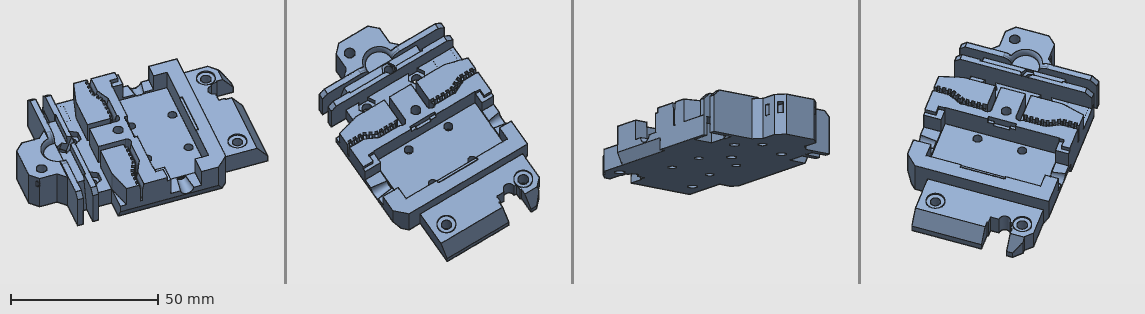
import cadquery as cq
import math


BODY_WIDTH = 52.0
TOTAL_LENGTH = 83.09
TOTAL_HEIGHT = 15.0
BODY_FRONT = 26.5
BODY_BACK = 66.15
WALL_HEIGHT = 13.4
BODY_MIDDLE_X = BODY_WIDTH / 2
CORNER_CHAMFER = 4.0
SIDE_BEVEL_WIDTH = 2.0
SIDE_BEVEL_HEIGHT = 4.2
LEFT_BEVEL_FRONT = 42.3
CUT = 1.0

PLATE_LEFT = 2.0
PLATE_RIGHT = 43.5
PLATE_HEIGHT = 7.8
PLATE_BEVEL_LENGTH = 3.9
PLATE_EDGE_HEIGHT = 2.5
PLATE_SHOULDER = 2.5
PLATE_SHOULDER_Y = 76.55
PLATE_CORNER_Y = 80.25
PLATE_NOTCH_LEFT = 9.55
PLATE_NOTCH_RIGHT = 18.5
PLATE_NOTCH_STEP = 0.5
PLATE_NOTCH_STEP_Y = 77.0
PLATE_NOTCH_END = 74.7
NOTCH_ROUND_X = 13.0
NOTCH_ROUND_RADIUS = 2.0
PLATE_HOLE_Y = 74.1
PLATE_HOLES = ((6.9, 3.6), (38.0, 3.4))
COUNTERBORE_DIAMETER = 6.4
COUNTERBORE_DEPTH = 0.6

TRAY_LEFT = 4.75
TRAY_RIGHT = 45.75
TRAY_FRONT = 40.6
TRAY_BACK = 60.8
TRAY_FLOOR = 5.75
TRAY_MIDDLE_X = (TRAY_LEFT + TRAY_RIGHT) / 2
RIDGE_BACK = 43.6
RIDGE_INNER_BACK = 40.8
RIDGE_LEFT_SHOULDER = 3.0
RIDGE_RIGHT_SHOULDER = 4.0
SADDLE_FRONT = 44.85
SADDLE_BACK = 55.9
SADDLE_HEIGHT = 6.6
CONE_Y = 50.75
CONE_Z = 6.9
CONE_OUTER_RADIUS = 2.42
CONE_INNER_RADIUS = 1.6
RIGHT_CONE_LENGTH = 6.0
TRAY_HOLE_DIAMETER = 3.0
TRAY_HOLE_SPACING_X = 16.0
TRAY_HOLE_SPACING_Y = 15.0
TRAY_HOLE_MIDDLE_Y = 50.65
BACK_GROOVE_WIDTH = 0.95
BACK_GROOVE_DEPTH = 0.4
RELIEF_X = 25.5
RELIEF_LENGTH = 9.95
RELIEF_CORE_LENGTH = 5.75
RELIEF_WIDTH = 1.05
RELIEF_DEPTH = 2.0
RELIEF_CORE_DEPTH = 3.0

DECK_HEIGHT = 7.0
TONGUE_HALF_WIDTH = 4.4
GAP_WIDTH = 2.0
GAP_END = 36.3
GAP_ROUND_RADIUS = 1.55
GAP_ROUND_X = 20.05
JAW_SLOPE_LENGTH = 8.3
JAW_SLOPE_DEPTH = 2.25
BELT_OUTER_Y = 35.05
BELT_INNER_Y = 37.35
BELT_BEND_OUTER_X = 6.0
BELT_BEND_INNER_X = 10.7
BELT_MOUTH_WIDTH = 1.5
BELT_SLOT_INSET = 0.45
BELT_SLOT_WIDTH = 0.7
BELT_MOUTH_Z = 12.5
TOOTH_PITCH = 2.0
TOOTH_WIDTH = 1.0
TOOTH_REACH = 2.35
OUTER_TEETH_X = 1.4
OUTER_TEETH = 3
SLOPED_TEETH_X = 6.3
SLOPED_TEETH = 3
INNER_TEETH_X = 12.55
INNER_TEETH = 4
TONGUE_HOLE_X = 25.5
TONGUE_HOLE_Y = 35.5
SCREW_DIAMETER = 3.4

NUT_X = (16.45, 36.5)
NUT_Y = 22.0
NUT_CORNER_DIAMETER = 6.4
NUT_DEPTH = 2.5

FIN_LEFT = 0.1
FIN_RIGHT = 49.4
FIN_THICKNESS = 2.1
REAR_FIN_FRONT = 17.5
FRONT_FIN_FRONT = 12.0
FIN_LEFT_CHAMFER_X = 2.45
FIN_LEFT_CHAMFER_Z = 2.2
FIN_RIGHT_CHAMFER = 2.0
LEDGE_HEIGHT = 11.8
LEDGE_BOTTOM_LEFT = 9.0
LEDGE_TOP_LEFT = 11.4
LEDGE_TOP_RIGHT = 40.7
FIN_RECESS_DEPTH = 0.5
FRONT_FIN_BACK = FRONT_FIN_FRONT + FIN_THICKNESS

CHANNEL_LEFT = 1.3
CHANNEL_RIGHT = 8.6
CHANNEL_BACK = 24.5
CHANNEL_HEIGHT = 6.6

SEAT_X = 24.2
SEAT_TOP_Y = 17.35
SEAT_CORNER_DIAMETER = 4.8
SEAT_TILT = 17.0
SEAT_DEPTH = 6.0
SEAT_HOLE_X = 23.8
SEAT_HOLE_Y = 15.9
SEAT_HOLE_DIAMETER = 3.0

BLOCK_LEFT = 19.05
BLOCK_RIGHT = 36.7
BLOCK_HEIGHT = 14.15
BLOCK_FLARE = 2.75
BLOCK_CHAMFER = 2.9
BLOCK_HOLE_X = 32.6
BLOCK_HOLE_Y = 5.1
BLOCK_HOLE_DIAMETER = 3.6
BLOCK_HOLE_DEPTH = 8.0
BOWL_X = 25.95
BOWL_Y = 13.35
BOWL_RADIUS = 4.75
BOWL_FLOOR = 11.9
BOWL_FLARE_RADIUS = TOTAL_HEIGHT - BOWL_FLOOR
TIE_X = 18.75
TIE_Y = 3.9
TIE_INNER_RADIUS = 2.1
TIE_OUTER_RADIUS = 3.95
TIE_BOTTOM = 7.7
TIE_TOP = 11.5
WINDOW_LEFT = 35.8
WINDOW_RIGHT = 36.3
WINDOW_BOTTOM = 9.8
WINDOW_TOP = 12.2
WINDOW_BACK = 2.2


def box(x0, x1, y0, y1, z0, z1):
    """Box between two opposite corners."""
    return cq.Workplane("XY").box(x1 - x0, y1 - y0, z1 - z0, centered=False).translate((x0, y0, z0))


def prism(points, z0, z1):
    """Upright prism over an XY outline."""
    return cq.Workplane("XY").workplane(offset=z0).polyline(points).close().extrude(z1 - z0)


def pin(x, y, diameter, z0, z1):
    """Upright cylinder."""
    return cq.Workplane("XY").workplane(offset=z0).center(x, y).circle(diameter / 2).extrude(z1 - z0)


def through_pin(x, y, diameter):
    """Cutter for a round hole through the full height."""
    return pin(x, y, diameter, -CUT, TOTAL_HEIGHT + CUT)


def profile_along_y(points, y0, y1):
    """Prism over an XZ outline, running from y0 to y1."""
    return cq.Workplane("XZ").workplane(offset=-y0).polyline(points).close().extrude(y0 - y1)


def mirrored(shape):
    """The shape together with its copy on the other side of the body."""
    return shape.union(shape.mirror("YZ", (BODY_MIDDLE_X, 0, 0)))


def make_back_plate():
    bevel_start = TOTAL_LENGTH - PLATE_BEVEL_LENGTH
    side = [
        (BODY_BACK - CUT, 0),
        (TOTAL_LENGTH, 0),
        (TOTAL_LENGTH, PLATE_EDGE_HEIGHT),
        (bevel_start, PLATE_HEIGHT),
        (BODY_BACK - CUT, PLATE_HEIGHT),
    ]
    plate = (
        cq.Workplane("YZ").workplane(offset=PLATE_LEFT).polyline(side).close()
        .extrude(PLATE_RIGHT - PLATE_LEFT)
    )
    shoulder_x = PLATE_LEFT + PLATE_SHOULDER
    corner_right = shoulder_x + TOTAL_LENGTH - PLATE_CORNER_Y
    corner = [
        (PLATE_LEFT - CUT, PLATE_SHOULDER_Y),
        (PLATE_LEFT, PLATE_SHOULDER_Y),
        (shoulder_x, PLATE_SHOULDER_Y + PLATE_SHOULDER),
        (shoulder_x, PLATE_CORNER_Y),
        (corner_right, TOTAL_LENGTH),
        (corner_right, TOTAL_LENGTH + CUT),
        (PLATE_LEFT - CUT, TOTAL_LENGTH + CUT),
    ]
    plate = plate.cut(prism(corner, -CUT, PLATE_HEIGHT + CUT))
    top = PLATE_HEIGHT + CUT
    plate = plate.cut(box(
        PLATE_NOTCH_LEFT, PLATE_NOTCH_RIGHT, PLATE_NOTCH_STEP_Y, TOTAL_LENGTH + CUT, -CUT, top,
    ))
    plate = plate.cut(box(
        PLATE_NOTCH_LEFT + PLATE_NOTCH_STEP, PLATE_NOTCH_RIGHT - PLATE_NOTCH_STEP,
        PLATE_NOTCH_END, PLATE_NOTCH_STEP_Y + CUT, -CUT, top,
    ))
    plate = plate.cut(pin(NOTCH_ROUND_X, PLATE_NOTCH_END, 2 * NOTCH_ROUND_RADIUS, -CUT, top))
    for x, diameter in PLATE_HOLES:
        plate = plate.cut(through_pin(x, PLATE_HOLE_Y, diameter))
        counterbore_floor = PLATE_HEIGHT - COUNTERBORE_DEPTH
        plate = plate.cut(pin(x, PLATE_HOLE_Y, COUNTERBORE_DIAMETER, counterbore_floor, top))
    return plate


def make_body():
    outline = [
        (0, BODY_FRONT),
        (BODY_WIDTH, BODY_FRONT),
        (BODY_WIDTH, BODY_BACK - CORNER_CHAMFER),
        (BODY_WIDTH - CORNER_CHAMFER, BODY_BACK),
        (0, BODY_BACK),
    ]
    body = prism(outline, 0, WALL_HEIGHT)
    body = body.union(box(0, BODY_WIDTH, BODY_FRONT, RIDGE_BACK, 0, TOTAL_HEIGHT))
    inner_step = box(
        RIDGE_LEFT_SHOULDER, BODY_WIDTH - RIDGE_RIGHT_SHOULDER,
        RIDGE_INNER_BACK, RIDGE_BACK + CUT, WALL_HEIGHT, TOTAL_HEIGHT + CUT,
    )
    body = body.cut(inner_step)
    right_bevel = [
        (BODY_WIDTH - SIDE_BEVEL_WIDTH, 0),
        (BODY_WIDTH, SIDE_BEVEL_HEIGHT),
        (BODY_WIDTH, 0),
    ]
    left_bevel = [(0, 0), (0, SIDE_BEVEL_HEIGHT), (SIDE_BEVEL_WIDTH, 0)]
    body = body.cut(profile_along_y(right_bevel, BODY_FRONT, BODY_BACK))
    return body.cut(profile_along_y(left_bevel, LEFT_BEVEL_FRONT, BODY_BACK))


def cut_tray(body):
    top = TOTAL_HEIGHT + CUT
    body = body.cut(box(TRAY_LEFT, TRAY_RIGHT, TRAY_FRONT, TRAY_BACK, TRAY_FLOOR, top))
    body = body.cut(box(-CUT, BODY_WIDTH + CUT, SADDLE_FRONT, SADDLE_BACK, SADDLE_HEIGHT, top))
    along_x = cq.Vector(1, 0, 0)
    left_cone = cq.Solid.makeCone(
        CONE_OUTER_RADIUS, CONE_INNER_RADIUS, TRAY_LEFT, cq.Vector(0, CONE_Y, CONE_Z), along_x,
    )
    right_cone = cq.Solid.makeCone(
        CONE_OUTER_RADIUS, CONE_INNER_RADIUS, RIGHT_CONE_LENGTH,
        cq.Vector(BODY_WIDTH, CONE_Y, CONE_Z), -along_x,
    )
    body = body.cut(cq.Workplane(left_cone)).cut(cq.Workplane(right_cone))
    for side_x in (-1, 1):
        for side_y in (-1, 1):
            x = TRAY_MIDDLE_X + side_x * TRAY_HOLE_SPACING_X / 2
            y = TRAY_HOLE_MIDDLE_Y + side_y * TRAY_HOLE_SPACING_Y / 2
            body = body.cut(through_pin(x, y, TRAY_HOLE_DIAMETER))
    groove_half = TRAY_HOLE_SPACING_X / 2
    body = body.cut(box(
        TRAY_MIDDLE_X - groove_half, TRAY_MIDDLE_X + groove_half,
        TRAY_BACK, TRAY_BACK + BACK_GROOVE_WIDTH, WALL_HEIGHT - BACK_GROOVE_DEPTH, top,
    ))
    for length, depth in ((RELIEF_LENGTH, RELIEF_DEPTH), (RELIEF_CORE_LENGTH, RELIEF_CORE_DEPTH)):
        body = body.cut(box(
            RELIEF_X - length / 2, RELIEF_X + length / 2,
            TRAY_FRONT - RELIEF_WIDTH, TRAY_FRONT, TOTAL_HEIGHT - depth, top,
        ))
    return body


def belt_outline(back_offset, front_offset):
    """Left belt path between two offsets in front of its back edge."""
    path = [
        (0, BELT_OUTER_Y),
        (BELT_BEND_OUTER_X, BELT_OUTER_Y),
        (BELT_BEND_INNER_X, BELT_INNER_Y),
        (GAP_ROUND_X, BELT_INNER_Y),
    ]
    back = [(x, y - back_offset) for x, y in path]
    front = [(x, y - front_offset) for x, y in reversed(path)]
    return back + front


def tooth_cutter(x, back_y, angle):
    """Notch for one belt tooth, cut into the front wall from the middle of the slot."""
    start = BELT_SLOT_INSET + BELT_SLOT_WIDTH / 2
    notch = box(-TOOTH_WIDTH / 2, TOOTH_WIDTH / 2, -TOOTH_REACH, -start, BELT_MOUTH_Z, TOTAL_HEIGHT + CUT)
    return notch.rotate((0, 0, 0), (0, 0, 1), angle).translate((x, back_y, 0))


def left_clamp_cutter():
    slot_front = BELT_SLOT_INSET + BELT_SLOT_WIDTH
    slot = belt_outline(BELT_SLOT_INSET, slot_front)
    cutter = prism(slot, DECK_HEIGHT, TOTAL_HEIGHT)
    mouth = (
        cq.Workplane("XY").workplane(offset=BELT_MOUTH_Z).polyline(slot).close()
        .workplane(offset=TOTAL_HEIGHT - BELT_MOUTH_Z)
        .polyline(belt_outline(0, BELT_MOUTH_WIDTH)).close()
        .loft(ruled=True)
    )
    cutter = cutter.union(mouth)

    for index in range(OUTER_TEETH):
        cutter = cutter.union(tooth_cutter(OUTER_TEETH_X + index * TOOTH_PITCH, BELT_OUTER_Y, 0))
    for index in range(INNER_TEETH):
        cutter = cutter.union(tooth_cutter(INNER_TEETH_X + index * TOOTH_PITCH, BELT_INNER_Y, 0))
    rise = BELT_INNER_Y - BELT_OUTER_Y
    run = BELT_BEND_INNER_X - BELT_BEND_OUTER_X
    slope = math.degrees(math.atan2(rise, run))
    for index in range(SLOPED_TEETH):
        x = SLOPED_TEETH_X + index * TOOTH_PITCH * math.cos(math.radians(slope))
        y = BELT_OUTER_Y + (x - BELT_BEND_OUTER_X) * rise / run
        cutter = cutter.union(tooth_cutter(x, y, slope))

    gap_right = BODY_MIDDLE_X - TONGUE_HALF_WIDTH
    top = TOTAL_HEIGHT + CUT
    cutter = cutter.union(box(gap_right - GAP_WIDTH, gap_right, BODY_FRONT - CUT, GAP_END, DECK_HEIGHT, top))
    cutter = cutter.union(pin(GAP_ROUND_X, GAP_END, 2 * GAP_ROUND_RADIUS, DECK_HEIGHT, top))
    slope_corner = [
        (0, BODY_FRONT),
        (JAW_SLOPE_LENGTH, BODY_FRONT),
        (0, BODY_FRONT + JAW_SLOPE_DEPTH),
    ]
    return cutter.union(prism(slope_corner, DECK_HEIGHT, top))


def cut_belt_clamps(body):
    body = body.cut(mirrored(left_clamp_cutter()))
    return body.cut(through_pin(TONGUE_HOLE_X, TONGUE_HOLE_Y, SCREW_DIAMETER))


def make_deck():
    deck = box(0, PLATE_RIGHT, REAR_FIN_FRONT, BODY_FRONT, 0, DECK_HEIGHT)
    for x in NUT_X:
        nut = (
            cq.Workplane("XY").workplane(offset=DECK_HEIGHT - NUT_DEPTH).center(x, NUT_Y)
            .polygon(6, NUT_CORNER_DIAMETER).extrude(NUT_DEPTH)
        )
        deck = deck.cut(nut).cut(through_pin(x, NUT_Y, SCREW_DIAMETER))
    return deck


def make_fin(front):
    outline = [
        (FIN_LEFT, 0),
        (FIN_RIGHT, 0),
        (FIN_RIGHT, TOTAL_HEIGHT - FIN_RIGHT_CHAMFER),
        (FIN_RIGHT - FIN_RIGHT_CHAMFER, TOTAL_HEIGHT),
        (FIN_LEFT + FIN_LEFT_CHAMFER_X, TOTAL_HEIGHT),
        (FIN_LEFT, TOTAL_HEIGHT - FIN_LEFT_CHAMFER_Z),
    ]
    return profile_along_y(outline, front, front + FIN_THICKNESS)


def make_fins_and_ledge():
    outline = [
        (LEDGE_BOTTOM_LEFT, 0),
        (PLATE_RIGHT, 0),
        (LEDGE_TOP_RIGHT, LEDGE_HEIGHT),
        (LEDGE_TOP_LEFT, LEDGE_HEIGHT),
    ]
    ledge = profile_along_y(outline, FRONT_FIN_BACK, REAR_FIN_FRONT)
    recess = box(
        LEDGE_TOP_LEFT, LEDGE_TOP_RIGHT,
        REAR_FIN_FRONT, REAR_FIN_FRONT + FIN_RECESS_DEPTH, LEDGE_HEIGHT, TOTAL_HEIGHT,
    )
    rear_fin = make_fin(REAR_FIN_FRONT).cut(recess)
    return rear_fin.union(ledge).union(make_fin(FRONT_FIN_FRONT))


def cut_channel(part):
    return part.cut(box(
        CHANNEL_LEFT, CHANNEL_RIGHT, REAR_FIN_FRONT - CUT, CHANNEL_BACK, -CUT, CHANNEL_HEIGHT,
    ))


def cut_nut_seat(part):
    seat = (
        cq.Workplane("XY").workplane(offset=-SEAT_DEPTH).polygon(6, SEAT_CORNER_DIAMETER)
        .extrude(SEAT_DEPTH + CUT)
        .rotate((0, 0, 0), (1, 0, 0), -SEAT_TILT)
        .translate((SEAT_X, SEAT_TOP_Y, TOTAL_HEIGHT))
    )
    return part.cut(seat).cut(through_pin(SEAT_HOLE_X, SEAT_HOLE_Y, SEAT_HOLE_DIAMETER))


def make_front_block():
    outline = [
        (BLOCK_LEFT - BLOCK_FLARE, FRONT_FIN_FRONT),
        (BLOCK_LEFT, FRONT_FIN_FRONT - BLOCK_FLARE),
        (BLOCK_LEFT, BLOCK_CHAMFER),
        (BLOCK_LEFT + BLOCK_CHAMFER, 0),
        (BLOCK_RIGHT - BLOCK_CHAMFER, 0),
        (BLOCK_RIGHT, BLOCK_CHAMFER),
        (BLOCK_RIGHT, FRONT_FIN_FRONT - BLOCK_FLARE),
        (BLOCK_RIGHT + BLOCK_FLARE, FRONT_FIN_FRONT),
    ]
    block = prism(outline, 0, BLOCK_HEIGHT)
    hole = pin(
        BLOCK_HOLE_X, BLOCK_HOLE_Y, BLOCK_HOLE_DIAMETER,
        BLOCK_HEIGHT - BLOCK_HOLE_DEPTH, BLOCK_HEIGHT,
    )
    tie_height = TIE_TOP - TIE_BOTTOM
    tie_channel = (
        cq.Workplane("XY").workplane(offset=TIE_BOTTOM).center(TIE_X, TIE_Y)
        .circle(TIE_OUTER_RADIUS).circle(TIE_INNER_RADIUS).extrude(tie_height)
    )
    window = box(WINDOW_LEFT, WINDOW_RIGHT, 0, WINDOW_BACK + CUT, WINDOW_BOTTOM, WINDOW_TOP)
    return block.cut(hole).cut(tie_channel).cut(window)


def bowl_profile():
    """Half section of the bowl: flat floor with a convex flare up to the rim."""
    rim_radius = BOWL_RADIUS + BOWL_FLARE_RADIUS
    diagonal = BOWL_FLARE_RADIUS * math.sqrt(0.5)
    return (
        cq.Workplane("XZ").moveTo(0, BOWL_FLOOR).lineTo(BOWL_RADIUS, BOWL_FLOOR)
        .threePointArc((rim_radius - diagonal, BOWL_FLOOR + diagonal), (rim_radius, TOTAL_HEIGHT))
        .lineTo(0, TOTAL_HEIGHT).close()
    )


def cut_bowl(part):
    round_end = bowl_profile().revolve(360, (0, 0, 0), (0, 1, 0))
    front_half = box(-BODY_WIDTH, BODY_WIDTH, -BODY_WIDTH, 0, 0, TOTAL_HEIGHT)
    half_run = bowl_profile().extrude(BOWL_Y - FRONT_FIN_BACK)
    run = half_run.union(half_run.mirror("YZ"))
    bowl = round_end.intersect(front_half).union(run)
    return part.cut(bowl.translate((BOWL_X, BOWL_Y, 0)))


part = cut_belt_clamps(cut_tray(make_body()))
part = part.union(make_back_plate()).union(make_deck())
part = part.union(make_fins_and_ledge()).union(make_front_block())
result = cut_bowl(cut_nut_seat(cut_channel(part)))